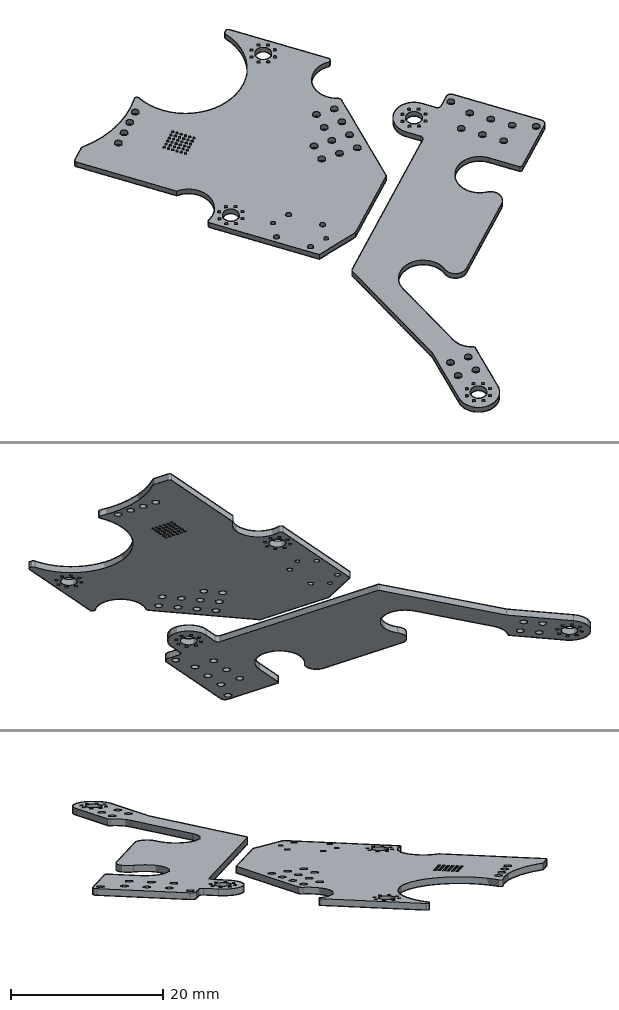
import cadquery as cq
import math

THICKNESS = 0.91
TOP_Y = 51.34
PAIR_LENGTH = 67.494

SCREW_HOLE = 2.2
SCREW_VIA = 0.4
SCREW_VIA_RING_RADIUS = 1.65
SCREW_VIA_COUNT = 8
HEADER_HOLE = 1.0
HEADER_PITCH = 2.54
HEADER_STEP = HEADER_PITCH / math.sqrt(2)


def polar(center, radius, angle):
    """Point at a distance and an angle in degrees from a center."""
    turn = math.radians(angle)
    return (center[0] + radius * math.cos(turn), center[1] + radius * math.sin(turn))


def line_to_circle(start, angle, center, radius):
    """First point where a ray from start, at an angle in degrees, meets a circle."""
    ray_x, ray_y = polar((0, 0), 1, angle)
    to_x = center[0] - start[0]
    to_y = center[1] - start[1]
    along = to_x * ray_x + to_y * ray_y
    aside = to_x * ray_y - to_y * ray_x
    return polar(start, along - math.sqrt(radius**2 - aside**2), angle)


def crossing(first, first_angle, second, second_angle):
    """Point where two lines cross, each given by a point and an angle in degrees."""
    ray_x, ray_y = polar((0, 0), 1, second_angle)
    gap = (second[0] - first[0]) * ray_y - (second[1] - first[1]) * ray_x
    return polar(first, gap / math.sin(math.radians(second_angle - first_angle)), first_angle)


def cut_round(board, points, diameter):
    """Cut round openings through the board."""
    return board.cut(cq.Workplane("XY").pushPoints(points).circle(diameter / 2).extrude(THICKNESS))


def cut_screw_hole(board, center):
    """Cut a screw hole and the ring of small vias around it."""
    step = 360 / SCREW_VIA_COUNT
    ring = [polar(center, SCREW_VIA_RING_RADIUS, i * step) for i in range(SCREW_VIA_COUNT)]
    return cut_round(cut_round(board, [center], SCREW_HOLE), ring, SCREW_VIA)


def diagonal_grid(origin, cells):
    """Hole centers on a 45 degree grid: columns run right and down, rows run left and down."""
    return [
        (origin[0] + (column - row) * HEADER_STEP, origin[1] - (column + row) * HEADER_STEP)
        for column, row in cells
    ]


def centered_grid(center, pitch_x, pitch_y, columns, rows):
    """Hole centers on an upright grid around a center."""
    return [
        (center[0] + (i - (columns - 1) / 2) * pitch_x, center[1] + (j - (rows - 1) / 2) * pitch_y)
        for i in range(columns)
        for j in range(rows)
    ]


def round_corners(board, corners, radius):
    """Fillet the upright edges nearest to the given corners."""
    for x, y in corners:
        corner = cq.NearestToPointSelector((x, y, THICKNESS / 2))
        board = board.edges("|Z").edges(corner).fillet(radius)
    return board


MAIN_RIGHT = 39.1
MAIN_BOTTOM = 18.05
MAIN_STEP_Y = 21.75
MAIN_TOP_LEFT = 9.85
MAIN_TOP_RIGHT = 24.6
CHAMFER_UPPER_Y = 34.5
CHAMFER_LOWER_Y = 23.5
CHAMFER_LOWER_X = 36.15
CHAMFER_SUM = MAIN_RIGHT + CHAMFER_UPPER_Y
MAIN_CORNER_RADIUS = 0.35
DIAGONAL_TIP_RADIUS = 0.6

LARGE_SCALLOP = ((7.45, 42.71), 8.1)
LEFT_SCALLOP = ((-10.03, 33.32), 13.37)
TOP_SCALLOP = ((26.7, 48.17), 3.34)
BOTTOM_SCALLOP = ((17.08, 19.48), 3.42)
SCALLOPS = [LARGE_SCALLOP, LEFT_SCALLOP, TOP_SCALLOP, BOTTOM_SCALLOP]

DIAGONAL_TIP = (28.4, 45.3)
MAIN_ROUNDED_CORNERS = [
    (0, MAIN_STEP_Y),
    (0, 24.4),
    (3.2, 35.7),
    (MAIN_TOP_LEFT, 50.55),
    (MAIN_TOP_LEFT, TOP_Y),
    (MAIN_TOP_RIGHT, TOP_Y),
    (MAIN_TOP_RIGHT, 50.8),
    (20.2, MAIN_BOTTOM),
]

MAIN_SCREWS = [(15.95, 48.98), (22.74, 20.37)]
DIAGONAL_HEADER_ORIGIN = (28.29, 43.16)
DIAGONAL_HEADER_CELLS = [(column, row) for row in range(2) for column in range(4)] + [(2, 2), (3, 2)]

SIDE_HEADER_X = 4.22
SIDE_HEADER_BOTTOM = 26.98
SIDE_HEADER_PITCH = 2.0
SIDE_HEADER_COUNT = 4

VIA_GRID_CENTER = (11.6, 29.99)
VIA_GRID_PITCH = 0.6
VIA_GRID_COUNT = 6
VIA_GRID_HOLE = 0.3

SOCKET_CENTER = (32.15, 21.1)
SOCKET_PIN_SPAN_X = 4.8
SOCKET_PIN_SPAN_Y = 4.3
SOCKET_PIN_HOLE = 0.75
SOCKET_PEG_SPAN = 7.5
SOCKET_PEG_HOLE = 0.6


def make_main_board():
    outline = [
        (0, MAIN_STEP_Y),
        (0, LEFT_SCALLOP[0][1]),
        (MAIN_TOP_LEFT, LARGE_SCALLOP[0][1]),
        (MAIN_TOP_LEFT, TOP_Y),
        (MAIN_TOP_RIGHT, TOP_Y),
        (MAIN_TOP_RIGHT, TOP_SCALLOP[0][1]),
        (CHAMFER_SUM - TOP_SCALLOP[0][1], TOP_SCALLOP[0][1]),
        (MAIN_RIGHT, CHAMFER_UPPER_Y),
        (MAIN_RIGHT, CHAMFER_LOWER_Y),
        (CHAMFER_LOWER_X, MAIN_BOTTOM),
        (BOTTOM_SCALLOP[0][0], MAIN_BOTTOM),
        (BOTTOM_SCALLOP[0][0], MAIN_STEP_Y),
    ]
    board = cq.Workplane("XY").polyline(outline).close().extrude(THICKNESS)
    for center, radius in SCALLOPS:
        board = cut_round(board, [center], 2 * radius)
    board = round_corners(board, MAIN_ROUNDED_CORNERS, MAIN_CORNER_RADIUS)
    board = round_corners(board, [DIAGONAL_TIP], DIAGONAL_TIP_RADIUS)
    for center in MAIN_SCREWS:
        board = cut_screw_hole(board, center)

    side_header = [
        (SIDE_HEADER_X, SIDE_HEADER_BOTTOM + i * SIDE_HEADER_PITCH) for i in range(SIDE_HEADER_COUNT)
    ]
    diagonal_header = diagonal_grid(DIAGONAL_HEADER_ORIGIN, DIAGONAL_HEADER_CELLS)
    board = cut_round(board, side_header + diagonal_header, HEADER_HOLE)

    vias = centered_grid(VIA_GRID_CENTER, VIA_GRID_PITCH, VIA_GRID_PITCH, VIA_GRID_COUNT, VIA_GRID_COUNT)
    board = cut_round(board, vias, VIA_GRID_HOLE)

    socket_pins = centered_grid(SOCKET_CENTER, SOCKET_PIN_SPAN_X, SOCKET_PIN_SPAN_Y, 2, 2)
    board = cut_round(board, socket_pins, SOCKET_PIN_HOLE)
    socket_pegs = centered_grid(SOCKET_CENTER, SOCKET_PEG_SPAN, 0, 2, 1)
    return cut_round(board, socket_pegs, SOCKET_PEG_HOLE)


ARM_LEFT = 41.13
ARM_RIGHT = 55.03
END_RADIUS = 2.78
TAB_CENTER = (38.62, 45.55)
END_CENTER = (PAIR_LENGTH - END_RADIUS, END_RADIUS)
END_ANGLE = -45
ARM_ANGLE = -32.75
ARM_CORNER_Y = 16.97

NOTCH_RADIUS = 3.25
NOTCH_X = 50.41
UPPER_NOTCH_Y = 39.2
LOWER_NOTCH_Y = 19.15
LOBE_RADIUS = 1.6
ARM_EDGE_LENGTH = 11.3
NECK_RADIUS = 3.0

TOP_CORNER_RADIUS = 0.7
TAB_CORNER_RADIUS = 0.5
SMALL_CORNER_RADIUS = 0.3

TOP_HOLES_CENTER = (48.08, 50.02)
TOP_HOLES_SPAN = 12.05
GRID_HEADER_CENTER = (48.09, 47.54)
GRID_HEADER_PITCH = 3.0
DIAGONAL_BLOCK_ORIGIN = (END_CENTER[0] - 2 * HEADER_STEP, END_CENTER[1] + 3 * HEADER_STEP)


def make_arm_board():
    upper_notch = (NOTCH_X, UPPER_NOTCH_Y)
    lower_notch = (NOTCH_X, LOWER_NOTCH_Y)

    lobe_x = ARM_RIGHT - LOBE_RADIUS
    lobe_slope = math.degrees(math.acos((lobe_x - NOTCH_X) / (NOTCH_RADIUS + LOBE_RADIUS)))
    upper_lobe = polar(upper_notch, NOTCH_RADIUS + LOBE_RADIUS, -lobe_slope)
    lower_lobe = polar(lower_notch, NOTCH_RADIUS + LOBE_RADIUS, lobe_slope)
    lobe_middle = (180 - lobe_slope) / 2

    arm_tangent_angle = ARM_ANGLE + 270
    arm_start = polar(lower_notch, NOTCH_RADIUS, arm_tangent_angle)
    end_upper = polar(END_CENTER, END_RADIUS, END_ANGLE + 90)
    end_lower = polar(END_CENTER, END_RADIUS, END_ANGLE - 90)
    arm_corner = (ARM_LEFT, ARM_CORNER_Y)
    neck_left = polar(arm_start, ARM_EDGE_LENGTH, ARM_ANGLE)
    neck_center = polar(neck_left, NECK_RADIUS, ARM_ANGLE + 90)
    neck_bottom = polar(neck_center, NECK_RADIUS, -90)
    neck_right = line_to_circle(end_upper, END_ANGLE + 180, neck_center, NECK_RADIUS)
    knee = crossing(arm_corner, ARM_ANGLE, end_lower, END_ANGLE)
    tab_low = TAB_CENTER[1] - END_RADIUS
    tab_high = TAB_CENTER[1] + END_RADIUS
    notch_top = UPPER_NOTCH_Y + NOTCH_RADIUS

    board = (
        cq.Workplane("XY")
        .moveTo(*arm_corner)
        .lineTo(ARM_LEFT, tab_low)
        .lineTo(TAB_CENTER[0], tab_low)
        .threePointArc(polar(TAB_CENTER, END_RADIUS, 180), (TAB_CENTER[0], tab_high))
        .lineTo(ARM_LEFT, tab_high)
        .lineTo(ARM_LEFT, TOP_Y)
        .lineTo(ARM_RIGHT, TOP_Y)
        .lineTo(ARM_RIGHT, notch_top)
        .lineTo(NOTCH_X, notch_top)
        .threePointArc(
            polar(upper_notch, NOTCH_RADIUS, 180),
            polar(upper_notch, NOTCH_RADIUS, -lobe_slope),
        )
        .threePointArc(polar(upper_lobe, LOBE_RADIUS, lobe_middle), (ARM_RIGHT, upper_lobe[1]))
        .lineTo(ARM_RIGHT, lower_lobe[1])
        .threePointArc(
            polar(lower_lobe, LOBE_RADIUS, -lobe_middle),
            polar(lower_notch, NOTCH_RADIUS, lobe_slope),
        )
        .threePointArc(polar(lower_notch, NOTCH_RADIUS, (lobe_slope + arm_tangent_angle) / 2), arm_start)
        .lineTo(*neck_left)
        .threePointArc(neck_bottom, neck_right)
        .lineTo(*end_upper)
        .threePointArc(polar(END_CENTER, END_RADIUS, END_ANGLE), end_lower)
        .lineTo(*knee)
        .close()
        .extrude(THICKNESS)
    )
    board = round_corners(board, [(ARM_LEFT, TOP_Y), (ARM_RIGHT, TOP_Y)], TOP_CORNER_RADIUS)
    board = round_corners(board, [(ARM_LEFT, tab_low), (ARM_LEFT, tab_high)], TAB_CORNER_RADIUS)
    board = round_corners(board, [(ARM_RIGHT, notch_top), neck_right, arm_corner], SMALL_CORNER_RADIUS)

    for center in (TAB_CENTER, END_CENTER):
        board = cut_screw_hole(board, center)
    header_holes = (
        centered_grid(TOP_HOLES_CENTER, TOP_HOLES_SPAN, 0, 2, 1)
        + centered_grid(GRID_HEADER_CENTER, GRID_HEADER_PITCH, GRID_HEADER_PITCH, 3, 2)
        + diagonal_grid(DIAGONAL_BLOCK_ORIGIN, [(0, 0), (1, 0), (0, 1), (1, 1)])
    )
    return cut_round(board, header_holes, HEADER_HOLE)


main_board = make_main_board()
arm_board = make_arm_board()
result = cq.Compound.makeCompound([main_board.val(), arm_board.val()])